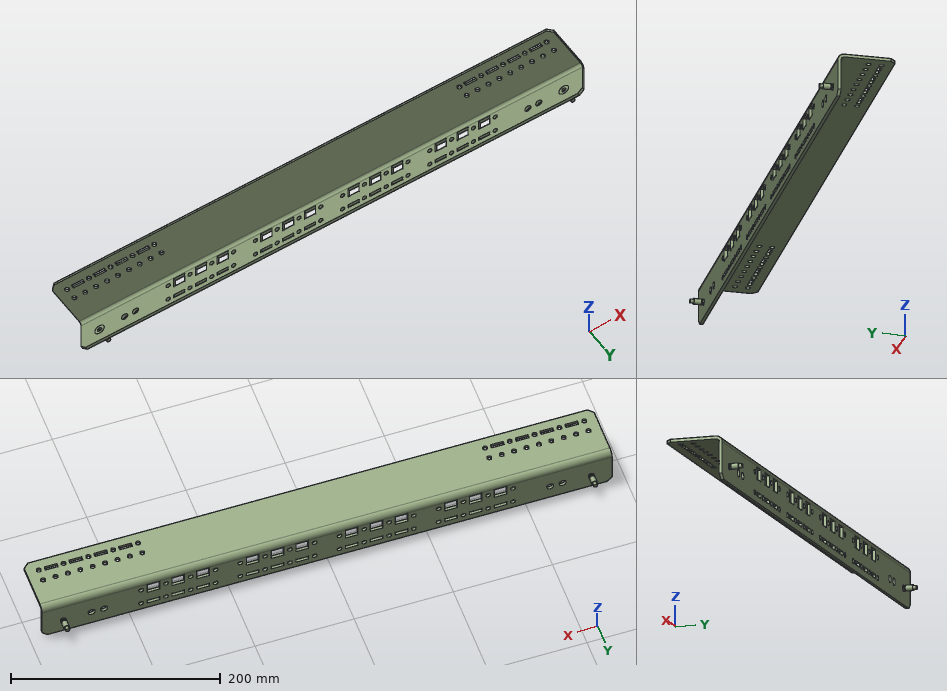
import cadquery as cq

length = 575.0
height = 42.0
total_depth = 70.0
stud_reach = 13.0
depth = total_depth - stud_reach

thickness = 3.0
bend_radius = 6.5
corner_chamfer = 5.0
cut_depth = 4 * thickness

module = length / 23
half_module = module / 2

hole_diameter = 4.5
slot_length = 12.5
slot_width = 3.75

shelf_row_holes = 9
shelf_slots = 4
front_row_inset = 11.5
front_row_y = front_row_inset - depth
rear_row_y = front_row_y + half_module
shelf_pattern_x = length / 2 - half_module - (shelf_row_holes - 1) * half_module / 2

wall_groups = 4
group_pitch = 4 * module
group_holes = 4
upper_row_z = height - 13.0
lower_row_z = 8.5
window_width = 12.5
window_height = 11.5

stud_z = height - 26.0
mounting_diameter = 7.0
mounting_x = [9 * module, 9.5 * module]
stud_x = 266.0
head_diameter = 11.0
stud_diameter = 6.0
tip_diameter = 4.0
tip_length = 3.5
groove_start = 1.0
groove_width = 1.0
socket_diameter = 4.5
socket_depth = 2.0


def spaced(count, pitch):
    """Return evenly spaced positions centred on zero."""
    return [(i - (count - 1) / 2) * pitch for i in range(count)]


def at_both_ends(offsets):
    """Return the offsets together with their mirror images."""
    return [side * x for side in (-1, 1) for x in offsets]


def on_row(xs, level):
    """Place every x at the same level across the sheet."""
    return [(x, level) for x in xs]


def bent_sheet():
    """L-shaped sheet with a rounded bend and chamfered free corners."""
    inner_radius = bend_radius - thickness
    sheet = (
        cq.Workplane("YZ", origin=(-length / 2, 0, 0))
        .lineTo(0, height - bend_radius)
        .radiusArc((-bend_radius, height), -bend_radius)
        .lineTo(-depth, height)
        .lineTo(-depth, height - thickness)
        .lineTo(-bend_radius, height - thickness)
        .radiusArc((-thickness, height - bend_radius), inner_radius)
        .lineTo(-thickness, 0)
        .close()
        .extrude(length)
    )
    sheet = sheet.edges("|Z").edges("<Y").chamfer(corner_chamfer)
    return sheet.edges("|Y").edges("<Z").chamfer(corner_chamfer)


def shelf_cuts():
    """Rows of holes and slots through both ends of the shelf."""
    hole_xs = []
    slot_xs = []
    front_hole_xs = []
    for centre in (-shelf_pattern_x, shelf_pattern_x):
        hole_xs += [centre + x for x in spaced(shelf_row_holes, half_module)]
        front_hole_xs += [centre + x for x in spaced(shelf_slots + 1, module)]
        slot_xs += [centre + x for x in spaced(shelf_slots, module)]
    plane = cq.Workplane("XY", origin=(0, 0, height - cut_depth / 2))
    holes = (
        plane.pushPoints(on_row(hole_xs, rear_row_y) + on_row(front_hole_xs, front_row_y))
        .circle(hole_diameter / 2)
        .extrude(cut_depth)
    )
    slots = plane.pushPoints(on_row(slot_xs, front_row_y)).rect(slot_length, slot_width).extrude(cut_depth)
    return holes, slots


def wall_cuts():
    """Groups of holes, windows and slots through the wall, and the mounting holes."""
    hole_xs = []
    opening_xs = []
    for centre in spaced(wall_groups, group_pitch):
        hole_xs += [centre + x for x in spaced(group_holes, module)]
        opening_xs += [centre + x for x in spaced(group_holes - 1, module)]
    plane = cq.Workplane("XZ", origin=(0, cut_depth / 2, 0))
    holes = (
        plane.pushPoints(on_row(hole_xs, upper_row_z) + on_row(hole_xs, lower_row_z))
        .circle(hole_diameter / 2)
        .extrude(cut_depth)
    )
    windows = (
        plane.pushPoints(on_row(opening_xs, upper_row_z))
        .rect(window_width, window_height)
        .extrude(cut_depth)
    )
    slots = plane.pushPoints(on_row(opening_xs, lower_row_z)).rect(slot_length, slot_width).extrude(cut_depth)
    mounting = (
        plane.pushPoints(on_row(at_both_ends(mounting_x), stud_z))
        .circle(mounting_diameter / 2)
        .extrude(cut_depth)
    )
    return holes, windows, slots, mounting


def stud_seat(x):
    """Countersunk seat through the wall, filled by a stud head."""
    return (
        cq.Workplane("XY", origin=(x, 0, stud_z))
        .moveTo(0, -thickness)
        .lineTo(head_diameter / 2, -thickness)
        .lineTo(stud_diameter / 2, 0)
        .lineTo(0, 0)
        .close()
        .revolve(360, (0, 0, 0), (0, 1, 0))
    )


def stud(x):
    """Flush countersunk stud with a drive socket, a neck groove and a reduced tip."""
    groove_end = groove_start + groove_width
    tip_start = stud_reach - tip_length
    body = (
        cq.Workplane("XY", origin=(x, 0, stud_z))
        .moveTo(0, -thickness)
        .lineTo(head_diameter / 2, -thickness)
        .lineTo(stud_diameter / 2, 0)
        .lineTo(stud_diameter / 2, groove_start)
        .lineTo(tip_diameter / 2, groove_start)
        .lineTo(tip_diameter / 2, groove_end)
        .lineTo(stud_diameter / 2, groove_end)
        .lineTo(stud_diameter / 2, tip_start)
        .lineTo(tip_diameter / 2, tip_start)
        .lineTo(tip_diameter / 2, stud_reach)
        .lineTo(0, stud_reach)
        .close()
        .revolve(360, (0, 0, 0), (0, 1, 0))
    )
    socket = (
        cq.Workplane("XZ", origin=(x, -thickness, stud_z))
        .circle(socket_diameter / 2)
        .extrude(-socket_depth)
    )
    return body.cut(socket)


rail = bent_sheet()
for cutter in (*shelf_cuts(), *wall_cuts()):
    rail = rail.cut(cutter)

studs = []
for x in at_both_ends([stud_x]):
    rail = rail.cut(stud_seat(x))
    studs.append(stud(x).val())

result = cq.Compound.makeCompound([rail.val(), *studs])